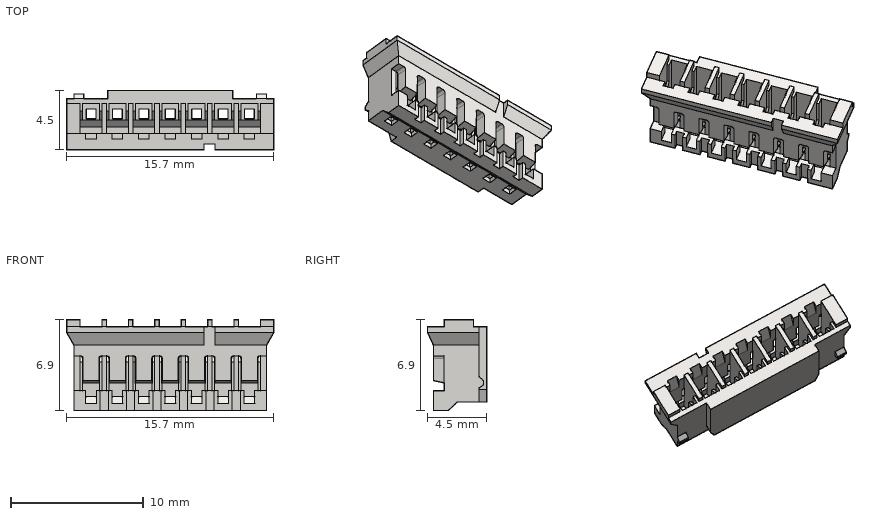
import cadquery as cq


contact_count = 7
row_span = 12.0
pitch = row_span / (contact_count - 1)
rib_width = 0.35
cavity_width = pitch - rib_width
slot_span = row_span + pitch
contact_centres = [(i - (contact_count - 1) / 2) * pitch for i in range(contact_count)]
slot_centres = [(i - contact_count / 2) * pitch for i in range(contact_count + 1)]

flange_length = 15.7
body_length = 14.6
body_front_y = 0.44
body_back_y = 3.9
body_bottom_z = 0.66
flange_underside_z = 4.96
flange_edge_z = 5.92
flange_top_z = 6.36

foot_top_z = 1.52
foot_bottom_front_y = 1.57
foot_bottom_back_y = 2.26

rib_front_y = 1.25
cavity_back_y = 3.5
rib_top_z = 6.9

cavity_floor_z = 0.53
ramp_front_y = 1.75
receptacle_front_y = 2.28
receptacle_floor_z = cavity_floor_z + receptacle_front_y - ramp_front_y
receptacle_width = 1.27
shoulder_y = 2.95
shoulder_low_z = 3.7
shoulder_high_z = 4.47
pin_hole_size = 0.72
pin_hole_front_y = 2.37

notch_width = 0.8
lead_in_front_y = 0.85
slot_front_width = 0.8
slot_back_width = 0.69
slot_top_z = 4.16
slot_corner_radius = 0.2
window_front_z = 2.28
window_back_z = 2.1
foot_groove_width = 0.61
foot_groove_depth = 0.4

key_centre_x = 2.97
key_width = 0.82

back_block_length = 9.48
back_block_y = 4.5
back_block_taper_x = 0.31
back_block_taper_z = 1.62
nub_width = 0.77
nub_y = 4.24
nub_bottom_z = 1.7
nub_low_z = 1.96
nub_high_z = 2.28
nub_top_z = 2.6


def box(x_range, y_range, z_range):
    """Box between the given (low, high) limits."""
    lows, highs = zip(x_range, y_range, z_range)
    sizes = [high - low for low, high in zip(lows, highs)]
    return cq.Workplane("XY").box(*sizes, centered=False).translate(lows)


def around(centre, width):
    """Limits of a stretch of the given width about its centre."""
    return (centre - width / 2, centre + width / 2)


def side_profile(points, centre_x, width):
    """Closed (Y, Z) outline extruded along X about centre_x."""
    start_x = centre_x - width / 2
    return cq.Workplane("YZ").workplane(offset=start_x).polyline(points).close().extrude(width)


def make_body():
    """Flanged block, where the side profile and the front profile overlap."""
    half_flange = flange_length / 2
    half_body = body_length / 2
    side = side_profile(
        [
            (0, flange_top_z),
            (0, flange_edge_z),
            (body_front_y, flange_underside_z),
            (body_front_y, 0),
            (foot_bottom_front_y, 0),
            (foot_bottom_back_y, body_bottom_z),
            (body_back_y, body_bottom_z),
            (body_back_y, flange_top_z),
        ],
        0,
        flange_length,
    )
    front = (
        cq.Workplane("XZ")
        .polyline(
            [
                (-half_body, 0),
                (half_body, 0),
                (half_body, flange_underside_z),
                (half_flange, flange_edge_z),
                (half_flange, flange_top_z),
                (-half_flange, flange_top_z),
                (-half_flange, flange_edge_z),
                (-half_body, flange_underside_z),
            ]
        )
        .close()
        .extrude(-body_back_y)
    )
    return side.intersect(front)


def make_raised_rail():
    """Bar along the top; cutting the cavities leaves it as ribs and end blocks."""
    return box(around(0, flange_length), (rib_front_y, cavity_back_y), (flange_top_z, rib_top_z))


def make_back_block():
    """Polarising block on the back, narrowed towards its lower end."""
    half_top = back_block_length / 2
    half_bottom = half_top - back_block_taper_x
    return (
        cq.Workplane("XZ", origin=(0, body_back_y, 0))
        .polyline(
            [
                (-half_bottom, body_bottom_z),
                (half_bottom, body_bottom_z),
                (half_top, back_block_taper_z),
                (half_top, flange_top_z),
                (-half_top, flange_top_z),
                (-half_top, back_block_taper_z),
            ]
        )
        .close()
        .extrude(body_back_y - back_block_y)
    )


def make_nub(side):
    """Latch nub on the back, flush with one end of the body (side is -1 or 1)."""
    centre_x = side * (body_length - nub_width) / 2
    outline = [
        (body_back_y, nub_bottom_z),
        (nub_y, nub_low_z),
        (nub_y, nub_high_z),
        (body_back_y, nub_top_z),
    ]
    return side_profile(outline, centre_x, nub_width)


def make_cavity(centre_x):
    """Contact cavity, open at the top, with the narrower receptacle behind it."""
    chamber = side_profile(
        [
            (rib_front_y, rib_top_z),
            (rib_front_y, cavity_floor_z),
            (ramp_front_y, cavity_floor_z),
            (receptacle_front_y, receptacle_floor_z),
            (receptacle_front_y, shoulder_low_z),
            (shoulder_y, shoulder_high_z),
            (shoulder_y, rib_top_z),
        ],
        centre_x,
        cavity_width,
    )
    receptacle = box(
        around(centre_x, receptacle_width),
        (receptacle_front_y, cavity_back_y),
        (receptacle_floor_z, rib_top_z),
    )
    rail_gap = box(
        around(centre_x, cavity_width),
        (rib_front_y, cavity_back_y),
        (flange_top_z, rib_top_z),
    )
    pin_hole = box(
        around(centre_x, pin_hole_size),
        (pin_hole_front_y, pin_hole_front_y + pin_hole_size),
        (0, receptacle_floor_z),
    )
    lead_in = side_profile(
        [
            (lead_in_front_y, flange_top_z),
            (rib_front_y, flange_top_z),
            (rib_front_y, flange_underside_z),
        ],
        centre_x,
        notch_width,
    )
    foot_notch = box(
        around(centre_x, notch_width),
        (body_front_y, rib_front_y),
        (cavity_floor_z, foot_top_z),
    )
    return chamber.union(receptacle).union(rail_gap).union(pin_hole).union(lead_in).union(foot_notch)


def make_slot(centre_x):
    """Upright slot in the front wall, narrowing inwards, with rounded top corners."""
    half_front = slot_front_width / 2
    half_back = slot_back_width / 2
    slot = (
        cq.Workplane("XY", origin=(centre_x, 0, foot_top_z))
        .polyline(
            [
                (-half_front, body_front_y),
                (half_front, body_front_y),
                (half_back, rib_front_y),
                (-half_back, rib_front_y),
            ]
        )
        .close()
        .extrude(slot_top_z - foot_top_z)
    )
    return slot.faces(">Z").edges("not |X").fillet(slot_corner_radius)


def make_end_relief(side):
    """Opening that carries an end slot out through the end of the body (side is -1 or 1)."""
    slot_x = side * slot_span / 2
    end_x = side * body_length / 2
    return box(
        (min(slot_x, end_x), max(slot_x, end_x)),
        (body_front_y, rib_front_y),
        (foot_top_z, slot_top_z),
    )


def make_foot_groove(centre_x):
    """Upright groove in the front of the foot between two contacts."""
    return box(
        around(centre_x, foot_groove_width),
        (body_front_y, body_front_y + foot_groove_depth),
        (0, foot_top_z),
    )


def make_window():
    """Gap between the foot and the lower edge of the front wall, along the whole body."""
    outline = [
        (body_front_y, foot_top_z),
        (rib_front_y, foot_top_z),
        (rib_front_y, window_back_z),
        (body_front_y, window_front_z),
    ]
    return side_profile(outline, 0, body_length)


def make_key_notch():
    """Polarising notch through the flange lip, down to the front face of the body."""
    return box(around(key_centre_x, key_width), (0, body_front_y), (flange_underside_z, flange_top_z))


result = make_body().union(make_raised_rail()).union(make_back_block())
for side in (-1, 1):
    result = result.union(make_nub(side)).cut(make_end_relief(side))

for centre_x in contact_centres:
    result = result.cut(make_cavity(centre_x))
for centre_x in slot_centres:
    result = result.cut(make_slot(centre_x))
for centre_x in slot_centres[1:-1]:
    result = result.cut(make_foot_groove(centre_x))
result = result.cut(make_window()).cut(make_key_notch())